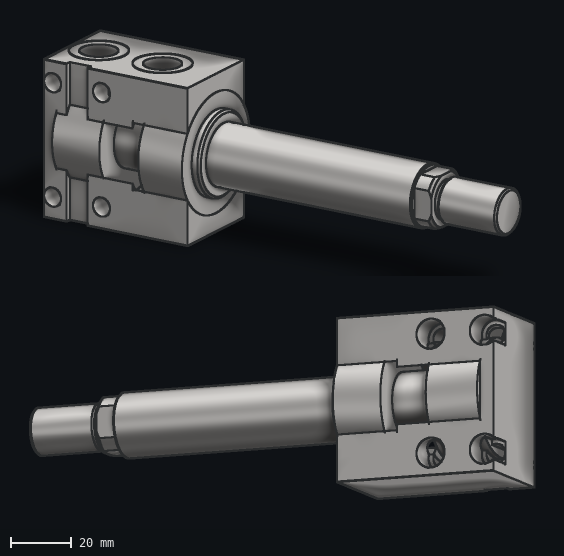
import cadquery as cq


BLOCK_LENGTH = 56.0
BLOCK_DEPTH = 35.0
BLOCK_HEIGHT = 55.0
BLOCK_CHAMFER = 0.2

PISTON_DIAMETER = 40.0
GLAND_DIAMETER = 42.0
PISTON_BORE_START = 4.8
GLAND_BORE_START = 34.5

SLOT_START = 8.9
SLOT_WIDTH = 8.2
SLOT_DEPTH = 2.0

BOLT_DIAMETER = 6.6
BOLT_COLUMN = 3.4
BOLT_PITCH_X = 19.0
BOLT_PITCH_Z = 39.8
COUNTERBORE_DIAMETER = 10.0
COUNTERBORE_DEPTH = 10.2

PORT_COLUMN = 10.4
PORT_PITCH = 24.9
PORT_DIAMETER = 13.0
PORT_FLOOR_Z = 18.7
SPOTFACE_DIAMETER = 20.0
SPOTFACE_DEPTH = 0.2

PISTON_LENGTH = 18.4
PISTON_END = PISTON_BORE_START + PISTON_LENGTH

GLAND_START = 39.0
COLLAR_DIAMETER = 30.0
COLLAR_LENGTH = 3.0
COLLAR_CHAMFER = 0.9

ROD_DIAMETER = 22.0
ROD_SHOULDER = 139.1
ROD_CHAMFER = 0.5
WRENCH_DIAMETER = 21.0
WRENCH_ACROSS_FLATS = 18.0
WRENCH_END = 145.7
WRENCH_CHAMFER = 1.0
NECK_DIAMETER = 13.8
NECK_END = 147.3
SPIGOT_DIAMETER = 16.0
SPIGOT_CHAMFER = 0.7
ROD_END = 170.2


def axial_cylinder(diameter, start, end):
    """Cylinder on the X axis between two x positions."""
    return cq.Workplane("YZ").workplane(offset=start).circle(diameter / 2).extrude(end - start)


def cut_bores(block):
    piston_bore = axial_cylinder(PISTON_DIAMETER, PISTON_BORE_START, GLAND_BORE_START)
    gland_bore = axial_cylinder(GLAND_DIAMETER, GLAND_BORE_START, BLOCK_LENGTH)
    return block.cut(piston_bore).cut(gland_bore)


def cut_key_slot(block):
    slot = (
        cq.Workplane("XY")
        .box(SLOT_WIDTH, SLOT_DEPTH, BLOCK_HEIGHT, centered=(False, False, True))
        .translate((SLOT_START, -BLOCK_DEPTH / 2, 0))
    )
    return block.cut(slot)


def cut_bolt_holes(block):
    rear_face = cq.Workplane("XZ", origin=(0, BLOCK_DEPTH / 2, 0))
    for x in (BOLT_COLUMN, BOLT_COLUMN + BOLT_PITCH_X):
        for z in (-BOLT_PITCH_Z / 2, BOLT_PITCH_Z / 2):
            centre = rear_face.center(x, z)
            hole = centre.circle(BOLT_DIAMETER / 2).extrude(BLOCK_DEPTH)
            counterbore = centre.circle(COUNTERBORE_DIAMETER / 2).extrude(COUNTERBORE_DEPTH)
            block = block.cut(hole.union(counterbore))
    return block


def cut_ports(block):
    top_face = cq.Workplane("XY", origin=(0, 0, BLOCK_HEIGHT / 2))
    port_depth = BLOCK_HEIGHT / 2 - PORT_FLOOR_Z
    for x in (PORT_COLUMN, PORT_COLUMN + PORT_PITCH):
        centre = top_face.center(x, 0)
        port = centre.circle(PORT_DIAMETER / 2).extrude(-port_depth)
        spotface = centre.circle(SPOTFACE_DIAMETER / 2).extrude(-SPOTFACE_DEPTH)
        block = block.cut(port).cut(spotface)
    return block


def make_housing():
    block = cq.Workplane("XY").box(
        BLOCK_LENGTH, BLOCK_DEPTH, BLOCK_HEIGHT, centered=(False, True, True)
    )
    block = block.edges("|X").chamfer(BLOCK_CHAMFER)
    block = cut_key_slot(block)
    block = cut_bolt_holes(block)
    block = cut_ports(block)
    return cut_bores(block)


def make_piston():
    return axial_cylinder(PISTON_DIAMETER, PISTON_BORE_START, PISTON_END)


def make_gland():
    collar_end = BLOCK_LENGTH + COLLAR_LENGTH
    collar = axial_cylinder(COLLAR_DIAMETER, BLOCK_LENGTH, collar_end)
    collar = collar.faces(">X").chamfer(COLLAR_CHAMFER)
    rod_hole = axial_cylinder(ROD_DIAMETER, GLAND_START, collar_end)
    return axial_cylinder(GLAND_DIAMETER, GLAND_START, BLOCK_LENGTH).union(collar).cut(rod_hole)


def make_wrench_section():
    """Turned section with four flats, chamfered at its outer end."""
    length = WRENCH_END - ROD_SHOULDER
    turned = axial_cylinder(WRENCH_DIAMETER, ROD_SHOULDER, WRENCH_END).faces(">X").chamfer(WRENCH_CHAMFER)
    square = (
        cq.Workplane("YZ")
        .workplane(offset=ROD_SHOULDER)
        .rect(WRENCH_ACROSS_FLATS, WRENCH_ACROSS_FLATS)
        .extrude(length)
    )
    return turned.intersect(square)


def make_rod():
    shaft = axial_cylinder(ROD_DIAMETER, PISTON_END, ROD_SHOULDER).faces(">X").chamfer(ROD_CHAMFER)
    neck = axial_cylinder(NECK_DIAMETER, WRENCH_END, NECK_END)
    spigot = axial_cylinder(SPIGOT_DIAMETER, NECK_END, ROD_END).faces("<X or >X").chamfer(SPIGOT_CHAMFER)
    return shaft.union(make_wrench_section()).union(neck).union(spigot)


housing = make_housing()
piston = make_piston()
gland = make_gland()
rod = make_rod()

result = cq.Compound.makeCompound([housing.val(), piston.val(), gland.val(), rod.val()])